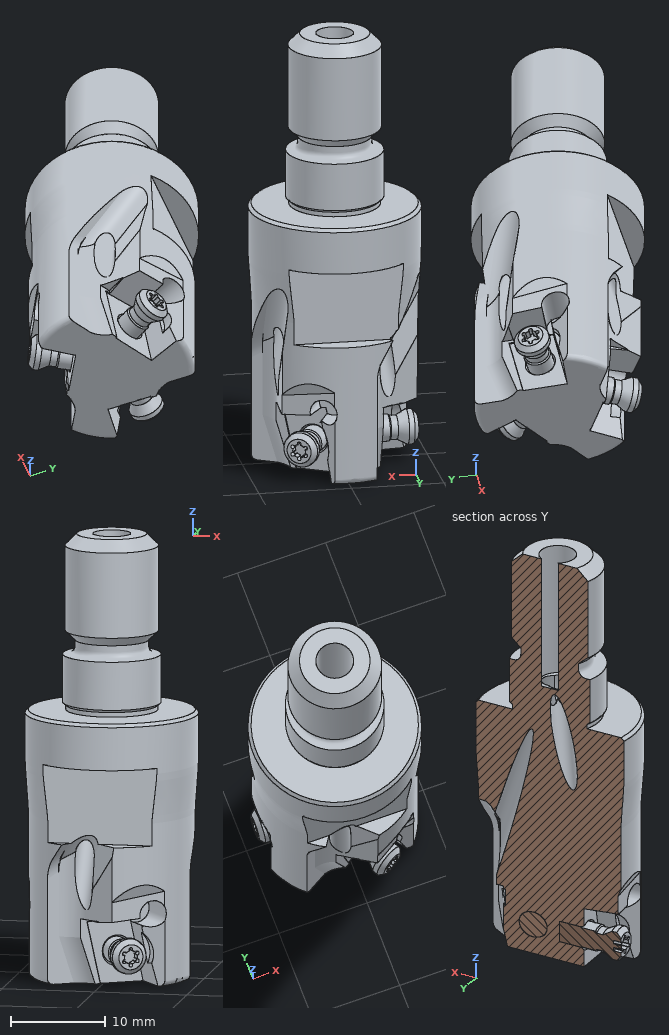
import cadquery as cq
import math

total_height = 47.8
flange_top = 28.8
thread_radius = 5.0
thread_chamfer = 1.25
thread_bottom = 37.35
undercut_radius = 3.95
undercut_top = 36.35
undercut_bottom = 35.6
undercut_fillet = 0.8
pilot_radius = 5.25
pilot_top = undercut_bottom - undercut_fillet
pilot_bottom = 29.6
pilot_chamfer = 0.3
relief_radius = 4.9
flange_radius = 18.5 / 2
flange_chamfer = 0.35
flange_bottom = 22.8
flange_edge_blend = 0.4
blend_offset = 0.04
neck_bottom = 18.2
nose_radius = 8.9
nose_corner = 0.65

flat_half_width = 6.89
flat_bottom = 15.4
flat_top = 23.8

bore_radius = 2.0
bore_bottom = 32.5

pocket_count = 3
outside = 12.0
far = 2 * outside
below = 2.0
seat_x = -4.2
seat_depth = outside + seat_x
seat_draft = 6.0
seat_lean = math.radians(12)
seat_top = 7.15
seat_top_slope = math.radians(4.5)
seat_right_y = -2.05
seat_left_y = 2.76

land_x = -8.38
land_half_width = 3.0
land_bottom = seat_top - 1.0
land_top = 9.9
land_depth = 1.0
land_tilt = math.radians(8.5)
land_runout_angle = 22.0

wall_corner = (land_x, -3.06)
wall_inner = (-6.8, -1.0)
wall_top = 7.2

corner_hole_radius = 1.5
corner_hole_z = 7.9
corner_hole_y = -1.3
corner_hole_tilt = 6.0

gullet_floor_x = -3.1
gullet_floor_y = 7.0
gullet_corner = (-4.9, 4.7)
gullet_heading = math.radians(207)
gullet_fillet = 2.6
gullet_wall_radius = 3.5
strip_rise = 0.15
strip_x = seat_x - strip_rise
strip_end_y = 1.5
lower_lean = math.radians(18)
lower_floor_y = 5.34
lower_seat_y = 3.4
runout_tilt = 37.0
runout_origin = (-2.7, 6.6, 13.2)
runout_radius = 2.4
runout_arc_start = -1.25
runout_arc_end = 0.6
runout_arc_drop = 2.3
runout_depth = 4.7
runout_wall_end = -0.7
runout_overlap = 4.0

coolant_radius = 1.15
coolant_exit = (-5.15, 5.2, 10.4)
coolant_tilt = 17.0
coolant_overrun = 4.0

screw_y = 0.9
screw_z = 3.5
screw_face_x = -8.72
screw_end_x = -1.2
screw_shank_radius = 1.45
screw_neck_radius = 1.3
screw_neck_start = -5.6
screw_neck_step = 0.15
screw_neck_end = -6.5
screw_head_radius = 1.9
screw_head_bottom = -7.6
screw_head_top = -8.2
screw_face_radius = 1.35
screw_sink_radius = 1.65
screw_sink_depth = 0.35
head_clearance_radius = 2.95
head_clearance_x = -6.4
lobe_count = 6
first_lobe_angle = 90
socket_core_radius = 0.72
lobe_radius = 0.2
lobe_reach = 1.04
socket_depth = 0.9


def around(shape):
    """The copies of a pocket-side shape, spaced evenly about Z."""
    return [
        shape.rotate((0, 0, 0), (0, 0, 1), i * 360 / pocket_count)
        for i in range(pocket_count)
    ]


def body_blank():
    """The turned body: shank, flange, tapered neck and nose."""
    profile = (
        cq.Workplane("XZ")
        .moveTo(0, 0)
        .lineTo(nose_radius - nose_corner, 0)
        .radiusArc((nose_radius, nose_corner), -nose_corner)
        .lineTo(nose_radius, neck_bottom - flange_edge_blend)
        .lineTo(nose_radius + blend_offset, neck_bottom + flange_edge_blend)
        .lineTo(flange_radius - blend_offset, flange_bottom - flange_edge_blend)
        .lineTo(flange_radius, flange_bottom + flange_edge_blend)
        .lineTo(flange_radius, flange_top - flange_chamfer)
        .lineTo(flange_radius - flange_chamfer, flange_top)
        .lineTo(relief_radius, flange_top)
        .lineTo(relief_radius, pilot_bottom - pilot_chamfer)
        .lineTo(pilot_radius, pilot_bottom)
        .lineTo(pilot_radius, pilot_top)
        .lineTo(undercut_radius + undercut_fillet, pilot_top)
        .radiusArc((undercut_radius, undercut_bottom), undercut_fillet)
        .lineTo(undercut_radius, undercut_top)
        .lineTo(thread_radius, thread_bottom)
        .lineTo(thread_radius, total_height - thread_chamfer)
        .lineTo(thread_radius - thread_chamfer, total_height)
        .lineTo(0, total_height)
        .close()
    )
    return profile.revolve(360, (0, 0, 0), (0, 1, 0))


def wrench_flats():
    """The two slabs of material cleared beside the wrench flats."""
    return (
        cq.Workplane("XY", origin=(0, 0, flat_bottom))
        .pushPoints([(0, side * (flat_half_width + outside / 2)) for side in (-1, 1)])
        .rect(2 * outside, outside)
        .extrude(flat_top - flat_bottom)
    )


def bore():
    """Blind coolant bore down the shank."""
    return (
        cq.Workplane("XY", origin=(0, 0, bore_bottom))
        .circle(bore_radius)
        .extrude(total_height - bore_bottom)
    )


def facing_plane(x):
    """Plane square to X at the given x: its x runs toward -Y, its y up, its z outward."""
    return cq.Plane((x, 0, 0), (0, -1, 0), (-1, 0, 0))


def seat_cut():
    """Leaning insert seat, opening outward with draft."""
    lean = math.tan(seat_lean)
    right_top = seat_right_y + seat_top * lean
    left_top = seat_left_y + seat_top * lean
    left_height = seat_top - (left_top - right_top) * math.tan(seat_top_slope)
    return (
        cq.Workplane(facing_plane(seat_x))
        .polyline([
            (-seat_right_y + below * lean, -below),
            (-right_top, seat_top),
            (-left_top, left_height),
            (-seat_left_y + below * lean, -below),
        ])
        .close()
        .extrude(seat_depth, taper=-seat_draft)
    )


def wall_relief():
    """Wedge that opens the right-hand pocket wall toward the outside."""
    return (
        cq.Workplane("XY", origin=(0, 0, -below))
        .polyline([wall_corner, wall_inner, (-outside, wall_inner[1]), (-outside, wall_corner[1])])
        .close()
        .extrude(wall_top + below)
    )


def land_cut():
    """Shallow flat above the pocket, running out in a gentle slope."""
    rise = land_half_width * math.tan(land_tilt)
    return (
        cq.Workplane(facing_plane(land_x))
        .polyline([
            (-land_half_width, land_bottom),
            (land_half_width, land_bottom),
            (land_half_width, land_top + rise),
            (-land_half_width, land_top - rise),
        ])
        .close()
        .extrude(land_depth, taper=land_runout_angle - 90)
    )


def corner_hole():
    """Round relief in the upper right corner of the pocket."""
    tilt = math.radians(corner_hole_tilt)
    axis = (-math.cos(tilt), -math.sin(tilt), 0)
    return (
        cq.Workplane(cq.Plane((seat_x, corner_hole_y, corner_hole_z), (0, 0, 1), axis))
        .circle(corner_hole_radius)
        .extrude(outside)
    )


def runout_plane():
    """Plane across the run-out: x to the side, y away from its floor, z along its slope."""
    tilt = math.radians(runout_tilt)
    out = (math.cos(gullet_heading), math.sin(gullet_heading))
    side = (out[1], -out[0], 0)
    slope = (out[0] * math.sin(tilt), out[1] * math.sin(tilt), math.cos(tilt))
    return cq.Plane(runout_origin, side, slope)


def gullet_column(wall_heading):
    """Upright column bounded by the gullet floor, its curved wall and a straight wall."""
    end_x = gullet_corner[0] + outside * math.cos(wall_heading)
    end_y = gullet_corner[1] + outside * math.sin(wall_heading)
    return (
        cq.Workplane("XY", origin=(0, 0, -below))
        .moveTo(gullet_floor_x, outside)
        .lineTo(gullet_floor_x, gullet_floor_y)
        .radiusArc(gullet_corner, gullet_wall_radius)
        .lineTo(end_x, end_y)
        .lineTo(-far, end_y)
        .lineTo(-far, outside)
        .close()
        .extrude(total_height)
    )


def above_runout(right, floor):
    """Block on the solid side of the run-out floor, reaching from far left to `right`."""
    return (
        cq.Workplane(runout_plane())
        .center(right - far, floor - far)
        .rect(2 * far, 2 * far)
        .extrude(2 * far, both=True)
    )


def gullet_middle():
    """The upright part of the gullet, with its floor blended into the run-out."""
    column = gullet_column(gullet_heading).cut(above_runout(far, 0))
    column = column.faces(">Z").edges(">X").fillet(gullet_fillet)
    return column.cut(above_runout(runout_arc_end, runout_arc_drop))


def gullet_lower():
    """The part of the gullet beside the insert seat, leaning with the seat."""
    section = (
        cq.Workplane("XY")
        .moveTo(gullet_floor_x, outside)
        .lineTo(gullet_floor_x, lower_floor_y)
        .radiusArc((strip_x, lower_seat_y), gullet_wall_radius)
        .lineTo(strip_x, strip_end_y)
        .lineTo(-outside, strip_end_y)
        .lineTo(-outside, outside)
        .close()
    )
    path = cq.Workplane("YZ").lineTo(seat_top * math.tan(lower_lean), seat_top)
    return section.sweep(path)


def gullet_runout():
    """Sloping slot through which the gullet leaves the body."""
    slot = (
        cq.Workplane(runout_plane())
        .workplane(offset=-runout_overlap)
        .moveTo(runout_arc_end, 0)
        .lineTo(runout_arc_end, runout_depth)
        .lineTo(runout_wall_end, runout_depth)
        .lineTo(runout_arc_start, runout_arc_drop)
        .radiusArc((runout_arc_end, 0), -runout_radius)
        .close()
        .extrude(outside + runout_overlap)
    )
    return slot.intersect(gullet_column(-math.pi / 2))


def coolant_hole():
    """Slanted hole from the central bore to the gullet."""
    x, y, z = coolant_exit
    radius = math.hypot(x, y)
    tilt = math.radians(coolant_tilt)
    direction = (x / radius * math.sin(tilt), y / radius * math.sin(tilt), -math.cos(tilt))
    start = (0, 0, z + radius / math.tan(tilt))
    length = radius / math.sin(tilt) + coolant_overrun
    return cq.Workplane(cq.Plane(start, (y, -x, 0), direction)).circle(coolant_radius).extrude(length)


def along_screw(points):
    """A solid turned about the screw axis from (x, radius) points."""
    return (
        cq.Workplane("XY")
        .polyline(points)
        .close()
        .revolve(360, (0, 0, 0), (1, 0, 0))
        .translate((0, screw_y, screw_z))
    )


def screw_hole():
    """Sunk hole for the screw shank and clearance around the screw head."""
    hole = along_screw([
        (screw_end_x, 0),
        (screw_end_x, screw_shank_radius),
        (seat_x + screw_sink_depth, screw_shank_radius),
        (seat_x, screw_sink_radius),
        (-outside, screw_sink_radius),
        (-outside, 0),
    ])
    clearance = along_screw([
        (head_clearance_x, 0),
        (head_clearance_x, head_clearance_radius),
        (-outside, head_clearance_radius),
        (-outside, 0),
    ])
    return hole.union(clearance)


def screw():
    """Countersunk clamping screw with a six-lobe socket."""
    blank = along_screw([
        (screw_end_x, 0),
        (screw_end_x, screw_shank_radius),
        (screw_neck_start, screw_shank_radius),
        (screw_neck_start - screw_neck_step, screw_neck_radius),
        (screw_neck_end, screw_neck_radius),
        (screw_head_bottom, screw_head_radius),
        (screw_head_top, screw_head_radius),
        (screw_face_x, screw_face_radius),
        (screw_face_x, 0),
    ])
    face = cq.Workplane(cq.Plane((screw_face_x, screw_y, screw_z), (0, -1, 0), (1, 0, 0)))
    core = face.circle(socket_core_radius).extrude(socket_depth)
    lobes = (
        face.polarArray(lobe_reach - lobe_radius, first_lobe_angle, 360, lobe_count)
        .circle(lobe_radius)
        .extrude(socket_depth)
    )
    return blank.cut(core).cut(lobes)


pocket = (
    gullet_middle()
    .union(gullet_lower())
    .union(gullet_runout())
    .union(seat_cut())
    .union(wall_relief())
    .union(land_cut())
    .union(corner_hole())
    .union(coolant_hole())
    .union(screw_hole())
)

body = body_blank().cut(wrench_flats()).cut(bore())
for cutter in around(pocket):
    body = body.cut(cutter)

screws = around(screw())
result = cq.Compound.makeCompound([body.val(), *[s.val() for s in screws]])